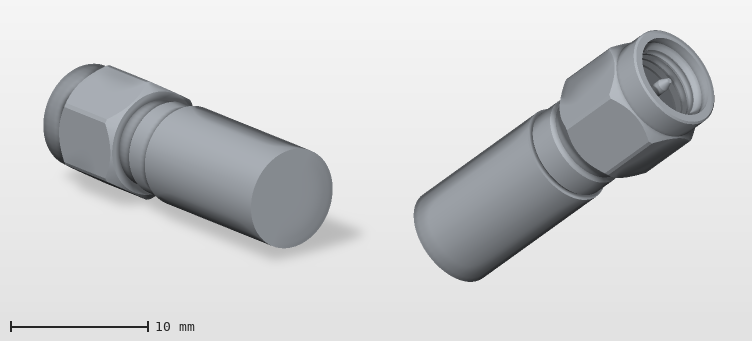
import cadquery as cq
import math


total_length = 24.82

collar_diameter = 7.77
collar_length = 2.04
lip_diameter = 7.5
lip_chamfer = (collar_diameter - lip_diameter) / 2
hex_across_flats = 7.95
hex_across_corners = 8.98
nut_length = 8.4
hex_chamfer_angle = 40.0

thread_major_diameter = 6.35
thread_minor_diameter = 5.6
thread_entry_length = 0.75
thread_lead_in_length = 0.42
first_crest_length = 0.07
thread_pitch = 0.7
thread_crest_length = 0.17
thread_flank_angle = 30.0
thread_groove_count = 3
first_groove_start = thread_entry_length + thread_lead_in_length + first_crest_length
socket_depth = first_groove_start + thread_groove_count * thread_pitch

boss_diameter = 4.45
boss_face_diameter = 4.07
boss_height = (boss_diameter - boss_face_diameter) / 2
boss_face_x = socket_depth - boss_height
pin_diameter = 0.95
pin_gap_diameter = 1.2
gap_depth = 0.12
pin_tip_diameter = 0.4
pin_tip_x = 0.65
pin_taper_length = 0.7

neck_diameter = 6.48
shoulder_start = 9.58
shoulder_diameter = 7.0
shoulder_front_chamfer_length = 0.32
shoulder_rear_chamfer_start = 11.85
shoulder_rear_chamfer_end = 12.05
stem_diameter = 6.6

ferrule_start = 12.1
ferrule_diameter = 7.5


def revolve_about_x(points):
    """Revolve a closed outline of (x, radius) points about the X axis."""
    return cq.Workplane("XY").polyline(points).close().revolve(360, (0, 0, 0), (1, 0, 0))


def cylinder(start, end, diameter):
    """Cylinder along X between two stations."""
    return cq.Workplane("YZ").workplane(offset=start).circle(diameter / 2).extrude(end - start)


def hex_prism(start, end, across_flats, turn):
    """Hexagonal prism along X, turned about its axis."""
    corner_circle = across_flats / math.cos(math.pi / 6)
    prism = cq.Workplane("YZ").workplane(offset=start).polygon(6, corner_circle).extrude(end - start)
    return prism.rotate((0, 0, 0), (1, 0, 0), turn)


def make_nut_outside():
    """Round collar followed by a hexagon with truncated corners and conical end chamfers."""
    collar = revolve_about_x([
        (0, 0),
        (0, lip_diameter / 2),
        (lip_chamfer, collar_diameter / 2),
        (collar_length, collar_diameter / 2),
        (collar_length, 0),
    ])
    collar_radius = collar_diameter / 2
    envelope_radius = hex_across_flats / 2 / math.cos(math.pi / 6)
    chamfer = (envelope_radius - collar_radius) / math.tan(math.radians(hex_chamfer_angle))
    envelope = revolve_about_x([
        (collar_length, 0),
        (collar_length, collar_radius),
        (collar_length + chamfer, envelope_radius),
        (nut_length - chamfer, envelope_radius),
        (nut_length, collar_radius),
        (nut_length, 0),
    ])
    hexagon = hex_prism(collar_length, nut_length, hex_across_flats, 30)
    corner_trim = hex_prism(collar_length, nut_length, hex_across_corners, 0)
    return collar.union(hexagon.intersect(corner_trim).intersect(envelope))


def make_socket():
    """Cavity of the threaded socket, with the thread as separate ring grooves."""
    major = thread_major_diameter / 2
    minor = thread_minor_diameter / 2
    flank = (major - minor) * math.tan(math.radians(thread_flank_angle))
    groove_length = thread_pitch - thread_crest_length
    outline = [
        (0, 0),
        (0, major),
        (thread_entry_length, major),
        (thread_entry_length + thread_lead_in_length, minor),
    ]
    for groove in range(thread_groove_count):
        start = first_groove_start + groove * thread_pitch
        end = start + groove_length
        outline += [(start, minor), (start + flank, major), (end - flank, major), (end, minor)]
    outline += [(socket_depth, minor), (socket_depth, 0)]
    return revolve_about_x(outline)


def make_boss():
    """Conical boss standing on the socket floor around the pin."""
    return revolve_about_x([
        (boss_face_x, 0),
        (boss_face_x, boss_face_diameter / 2),
        (socket_depth, boss_diameter / 2),
        (socket_depth, 0),
    ])


def make_pin_gap():
    """Shallow recess in the boss face that leaves a ring gap around the pin."""
    return cylinder(boss_face_x, boss_face_x + gap_depth, pin_gap_diameter)


def make_contact_pin():
    """Centre contact with a tapered tip, rooted in the bottom of its ring gap."""
    return revolve_about_x([
        (pin_tip_x, 0),
        (pin_tip_x, pin_tip_diameter / 2),
        (pin_tip_x + pin_taper_length, pin_diameter / 2),
        (boss_face_x + gap_depth, pin_diameter / 2),
        (boss_face_x + gap_depth, 0),
    ])


def make_rear_body():
    """Neck, chamfered shoulder and the stem that fills the ferrule."""
    return revolve_about_x([
        (nut_length, 0),
        (nut_length, neck_diameter / 2),
        (shoulder_start, neck_diameter / 2),
        (shoulder_start + shoulder_front_chamfer_length, shoulder_diameter / 2),
        (shoulder_rear_chamfer_start, shoulder_diameter / 2),
        (shoulder_rear_chamfer_end, stem_diameter / 2),
        (total_length, stem_diameter / 2),
        (total_length, 0),
    ])


def make_connector():
    """Nut, contact and rear body as one solid."""
    connector = make_nut_outside().union(make_rear_body()).cut(make_socket())
    connector = connector.union(make_boss()).cut(make_pin_gap())
    return connector.union(make_contact_pin())


def make_ferrule():
    """Plain crimp tube around the stem."""
    tube = cylinder(ferrule_start, total_length, ferrule_diameter)
    return tube.cut(cylinder(ferrule_start, total_length, stem_diameter))


connector = make_connector()
ferrule = make_ferrule()

result = cq.Compound.makeCompound([connector.val(), ferrule.val()])